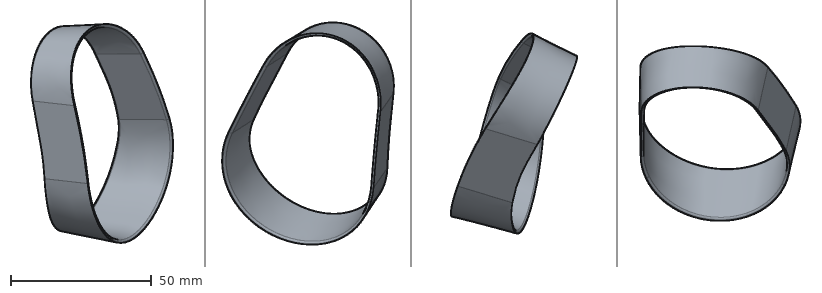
import cadquery as cq
import math

AXIS_TILT = 16.2
TAPER = 6.0
WALL = 1.1
RIM_ROUND = 0.8
BLANK_LENGTH = 47.85

UPPER_CIRCLE = (4.1, 17.0, 22.3)
LOWER_CIRCLE = (0.0, -11.5, 27.35)

NARROW_TOP = (-21.0, 33.65)
NARROW_SLOPE = 23.6
NARROW_BOTTOM_X = -3.2
NARROW_BLEND = 71.8

WIDE_RIM = ((-8.5, 44.7), (13.55, 0.5), (21.4, -44.7))


tilt = math.radians(AXIS_TILT)
axis = cq.Vector(math.cos(tilt), 0, math.sin(tilt))


def on_circle(circle, angle):
    y, v, radius = circle
    return (y + radius * math.cos(angle), v + radius * math.sin(angle))


def tapered_body(inset):
    """Solid cone-sided blank, its section moved inward by inset."""
    start_inset = inset + BLANK_LENGTH / 2 * math.tan(math.radians(TAPER))
    upper = (*UPPER_CIRCLE[:2], UPPER_CIRCLE[2] - start_inset)
    lower = (*LOWER_CIRCLE[:2], LOWER_CIRCLE[2] - start_inset)
    dy = upper[0] - lower[0]
    dv = upper[1] - lower[1]
    center_line = math.atan2(dv, dy)
    spread = math.acos((lower[2] - upper[2]) / math.hypot(dy, dv))
    right = center_line - spread
    left = center_line + spread

    section = cq.Plane(origin=axis * (-BLANK_LENGTH / 2), xDir=(0, 1, 0), normal=axis)
    return (
        cq.Workplane(section)
        .moveTo(*on_circle(upper, right))
        .threePointArc(on_circle(upper, center_line), on_circle(upper, left))
        .lineTo(*on_circle(lower, left))
        .threePointArc(on_circle(lower, center_line + math.pi), on_circle(lower, right))
        .close()
        .extrude(BLANK_LENGTH, taper=-TAPER)
    )


def trim_band():
    """Block between the two rim curves, running right across the part in Y."""
    half_width = 39.9
    slope = math.radians(NARROW_SLOPE)
    top_x, top_z = NARROW_TOP
    corner_z = top_z - (NARROW_BOTTOM_X - top_x) / math.tan(slope)
    tangent_length = NARROW_BLEND * math.tan(slope / 2)
    blend_start = (
        NARROW_BOTTOM_X - tangent_length * math.sin(slope),
        corner_z + tangent_length * math.cos(slope),
    )
    blend_middle = (
        NARROW_BOTTOM_X - NARROW_BLEND * (1 - math.cos(slope / 2)),
        corner_z - tangent_length + NARROW_BLEND * math.sin(slope / 2),
    )
    blend_end = (NARROW_BOTTOM_X, corner_z - tangent_length)
    wide_top, wide_middle, wide_bottom = WIDE_RIM
    overrun = wide_top[1] - top_z
    narrow_top = (top_x - overrun * math.tan(slope), wide_top[1])
    return (
        cq.Workplane("XZ")
        .moveTo(*narrow_top)
        .lineTo(*blend_start)
        .threePointArc(blend_middle, blend_end)
        .lineTo(NARROW_BOTTOM_X, wide_bottom[1])
        .lineTo(*wide_bottom)
        .threePointArc(wide_middle, wide_top)
        .close()
        .extrude(half_width, both=True)
    )


def bore_rim_edges(band):
    """Edges where the bore meets the rims, leaving out the seams along the axis."""
    near_bore = tapered_body(WALL / 2).val()
    steepest_to_axis = 0.7
    return [
        edge
        for edge in band.edges().vals()
        if near_bore.isInside(edge.positionAt(0.5))
        and abs(edge.tangentAt(0.5).dot(axis)) < steepest_to_axis
    ]


band = tapered_body(0).cut(tapered_body(WALL)).intersect(trim_band())
result = band.newObject(bore_rim_edges(band)).fillet(RIM_ROUND)